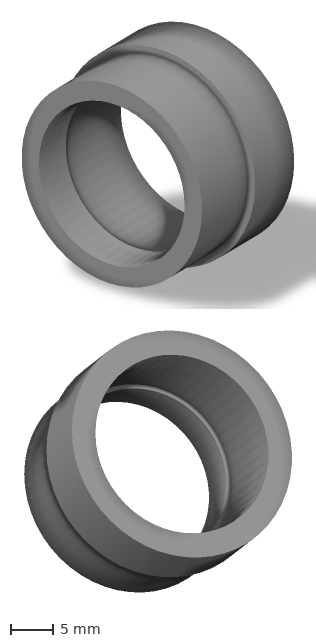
import cadquery as cq

collar_diameter = 28
spigot_diameter = 26.0
bore_diameter = 21
rear_bore_diameter = 22.0
total_length = 17.5
collar_length = 8.0
front_bore_length = 5.5


def cylinder(diameter, front, back):
    """Solid cylinder on the Y axis between two Y positions."""
    return cq.Workplane("XZ", origin=(0, front, 0)).circle(diameter / 2).extrude(front - back)


spigot = cylinder(spigot_diameter, 0, total_length)
collar = cylinder(collar_diameter, total_length - collar_length, total_length)
bore = cylinder(bore_diameter, 0, total_length)

rear_bore = cylinder(rear_bore_diameter, front_bore_length, total_length)

result = spigot.union(collar).cut(bore).cut(rear_bore)